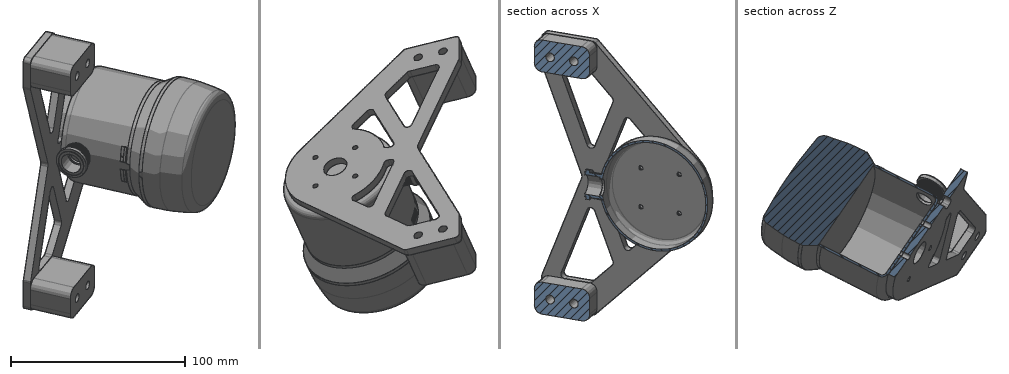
import cadquery as cq
import math


PLATE_THICK = 4.6
PLATE_INSET = 0.25
HUB_RADIUS = 30.3
WAIST_Y = -49.5
STRUT_WIDTH_Y = 10.9
STRUT_SLOPE = 0.39
RIM_INNER_SUM = 21.0
SLOT_END_Z = 5.3
PLATE_CORNER_RADIUS = 2.5
WAIST_RADIUS = 3.4
WINDOW_RADIUS = 2.5
SLOT_RADIUS = 2.4

BLOCK_LENGTH = 25.0
BLOCK_WIDTH = 35.0
BLOCK_HEIGHT = 20.0
BLOCK_TOP_Z = 85.0
BLOCK_FRONT_Y = -75.1
BLOCK_RADIUS = 5.1
BLOCK_HOLE_DIA = 5.1
BLOCK_HOLE_PITCH = 15.0

CABLE_HOLE_DIA = 14.0
SCREW_CIRCLE_DIA = 34.0
SCREW_CLEARANCE_DIA = 3.0
SCREW_PILOT_DIA = 2.5

HOUSING_DIA = 68.0
CAVITY_DIA = 65.0
HOUSING_END_X = 48.8
HOUSING_EDGE_RADIUS = 4.0
STRIP_WIDTH = 2.0
STRIP_DEPTH = 0.2
POINTER_WIDTH = 4.5
HOUSING_POINTER_TIP = 3.4
CAP_POINTER_TIP = 2.0

MARK_START_X = 42.8
MARK_STEP_X = 44.5
MARK_END_X = 46.0
MARK_INNER_Z = 2.5
MARK_OUTER_Z = 11.7
MARK_DEPTH = 0.7
MARK_SHALLOW_DEPTH = 0.3
MARK_DIVIDER_Z = 5.8
MARK_DIVIDER_WIDTH = 0.3

INLET_X = 16.2
INLET_END_Y = -43.4
INLET_DIA = 16.3
INLET_BORE_DIA = 12.0
INLET_WALL_HOLE_DIA = 10.2
COLLAR_DIA = 18.7
COLLAR_BACK_Y = -40.3
COLLAR_FACE_Y = -42.8
THREAD_PITCH = 0.8
THREAD_DEPTH = 0.3

CAP_DIA = 76.8
CONE_END_X = 56.5
BELLY_X = 69.4
BELLY_RADIUS = 38.0
SHOULDER_X = 82.3
SHOULDER_RADIUS = 36.0
NOSE_EDGE_X = 86.0
NOSE_EDGE_RADIUS = 31.1
NOSE_X = 87.7

housing_radius = HOUSING_DIA / 2
cavity_radius = CAVITY_DIA / 2
wall = housing_radius - cavity_radius
cap_radius = CAP_DIA / 2
block_center_y = BLOCK_FRONT_Y + BLOCK_WIDTH / 2
block_center_z = BLOCK_TOP_Z - BLOCK_HEIGHT / 2
plate_top_z = BLOCK_TOP_Z - PLATE_INSET
plate_front_y = BLOCK_FRONT_Y + PLATE_INSET
window_top_z = BLOCK_TOP_Z - BLOCK_HEIGHT + PLATE_INSET
strut_inner_y = WAIST_Y + STRUT_WIDTH_Y


def x_cylinder(diameter, start_x, end_x, y=0, z=0):
    """Cylinder along X centred on (y, z)."""
    return cq.Workplane("YZ", origin=(start_x, y, z)).circle(diameter / 2).extrude(end_x - start_x)


def y_cylinder(diameter, start_y, end_y):
    """Cylinder along Y, centred on the cable inlet."""
    plane = cq.Workplane("XZ", origin=(INLET_X, start_y, 0))
    return plane.circle(diameter / 2).extrude(start_y - end_y)


def screw_holes(diameter, start_x, end_x):
    """Four screw holes at 45 degrees to the axes."""
    plane = cq.Workplane("YZ", origin=(start_x, 0, 0))
    spots = plane.polarArray(SCREW_CIRCLE_DIA / 2, 45, 360, 4)
    return spots.circle(diameter / 2).extrude(end_x - start_x)


def plate_blank():
    """Plate outline: round hub, 45-degree rims and a waist on the far side."""
    tangent = HUB_RADIUS / math.sqrt(2)
    rim_corner_y = HUB_RADIUS * math.sqrt(2) - plate_top_z
    strut_corner_z = (WAIST_Y - plate_front_y) / STRUT_SLOPE
    outline = (
        cq.Workplane("YZ")
        .moveTo(tangent, -tangent)
        .threePointArc((HUB_RADIUS, 0), (tangent, tangent))
        .lineTo(rim_corner_y, plate_top_z)
        .lineTo(plate_front_y, plate_top_z)
        .lineTo(plate_front_y, strut_corner_z)
        .lineTo(WAIST_Y, 0)
        .lineTo(plate_front_y, -strut_corner_z)
        .lineTo(plate_front_y, -plate_top_z)
        .lineTo(rim_corner_y, -plate_top_z)
        .close()
    )
    blank = outline.extrude(PLATE_THICK)
    blank = blank.edges("|X").edges("<Y or >Z or <Z").fillet(PLATE_CORNER_RADIUS)
    waist = cq.selectors.NearestToPointSelector((PLATE_THICK / 2, WAIST_Y, 0))
    return blank.edges(waist).fillet(WAIST_RADIUS)


def window():
    """Four-sided window between the rim, the block and the two struts."""
    apex_z = (strut_inner_y - WAIST_Y) / (2 * STRUT_SLOPE)
    side_z = (RIM_INNER_SUM - WAIST_Y) / (1 + STRUT_SLOPE)
    corners = [
        ((strut_inner_y + WAIST_Y) / 2, apex_z),
        (RIM_INNER_SUM - side_z, side_z),
        (RIM_INNER_SUM - window_top_z, window_top_z),
        (strut_inner_y - STRUT_SLOPE * window_top_z, window_top_z),
    ]
    prism = cq.Workplane("YZ").polyline(corners).close().extrude(PLATE_THICK)
    return prism.edges("|X").fillet(WINDOW_RADIUS)


def slot():
    """Slot bounded by the hub circle, the rim and the inner strut."""
    hub_end_y = -math.sqrt(HUB_RADIUS**2 - SLOT_END_Z**2)
    rim_reach = math.sqrt(2 * HUB_RADIUS**2 - RIM_INNER_SUM**2)
    rim_start = ((RIM_INNER_SUM - rim_reach) / 2, (RIM_INNER_SUM + rim_reach) / 2)
    top_z = (RIM_INNER_SUM - strut_inner_y) / (1 + STRUT_SLOPE)
    hub_mid = HUB_RADIUS / math.sqrt(2)
    prism = (
        cq.Workplane("YZ")
        .moveTo(hub_end_y, SLOT_END_Z)
        .threePointArc((-hub_mid, hub_mid), rim_start)
        .lineTo(RIM_INNER_SUM - top_z, top_z)
        .lineTo(strut_inner_y + STRUT_SLOPE * SLOT_END_Z, SLOT_END_Z)
        .close()
        .extrude(PLATE_THICK)
    )
    return prism.edges("|X").fillet(SLOT_RADIUS)


def mounting_block():
    """Upper mounting block, rounded along X."""
    center = (PLATE_THICK, block_center_y, block_center_z)
    block = cq.Workplane("YZ", origin=center).rect(BLOCK_WIDTH, BLOCK_HEIGHT).extrude(BLOCK_LENGTH)
    return block.edges("|X").fillet(BLOCK_RADIUS)


def make_bracket():
    block = mounting_block()
    bracket = plate_blank().union(block).union(block.mirror("XY"))
    for opening in (window(), slot()):
        bracket = bracket.cut(opening).cut(opening.mirror("XY"))
    for z in (block_center_z, -block_center_z):
        for side in (-1, 1):
            y = block_center_y + side * BLOCK_HOLE_PITCH / 2
            bracket = bracket.cut(x_cylinder(BLOCK_HOLE_DIA, 0, PLATE_THICK + BLOCK_LENGTH, y, z))
    bracket = bracket.cut(x_cylinder(CABLE_HOLE_DIA, 0, PLATE_THICK))
    return bracket.cut(screw_holes(SCREW_CLEARANCE_DIA, 0, PLATE_THICK))


def marking_strip(radius, start_x, base_x, tip_x, tip_width):
    """Shallow ring to cut away, interrupted on the -Y side by a tapered pointer."""
    end_x = start_x + STRIP_WIDTH
    ring = x_cylinder(2 * radius, start_x, end_x).cut(
        x_cylinder(2 * (radius - STRIP_DEPTH), start_x, end_x)
    )
    pointer = (
        cq.Workplane("XZ")
        .moveTo(base_x, -POINTER_WIDTH / 2)
        .lineTo(base_x, POINTER_WIDTH / 2)
        .lineTo(tip_x, tip_width / 2)
        .lineTo(tip_x, -tip_width / 2)
        .close()
        .extrude(radius)
    )
    return ring.cut(pointer)


def mark_recess(start_x, end_x, depth):
    """Recess of even depth in the housing wall, above the pointer."""
    ring = x_cylinder(HOUSING_DIA, start_x, end_x).cut(
        x_cylinder(HOUSING_DIA - 2 * depth, start_x, end_x)
    )
    sector = (
        cq.Workplane("XZ")
        .moveTo(start_x, MARK_INNER_Z)
        .lineTo(end_x, MARK_INNER_Z)
        .lineTo(end_x, MARK_OUTER_Z)
        .lineTo(start_x, MARK_OUTER_Z)
        .close()
        .extrude(housing_radius)
    )
    return ring.intersect(sector)


def cable_inlet():
    """Threaded tube with a collar, reaching from inside the wall to its open end."""
    root_radius = INLET_DIA / 2 - THREAD_DEPTH
    thread_start_y = -cavity_radius
    inlet = y_cylinder(INLET_DIA - 2 * THREAD_DEPTH, thread_start_y, INLET_END_Y)
    for turn in range(int((thread_start_y - COLLAR_BACK_Y) / THREAD_PITCH)):
        y = thread_start_y - turn * THREAD_PITCH
        ridge = (
            cq.Workplane("XY")
            .moveTo(INLET_X, y)
            .lineTo(INLET_X + root_radius, y)
            .lineTo(INLET_X + INLET_DIA / 2, y - THREAD_PITCH / 2)
            .lineTo(INLET_X + root_radius, y - THREAD_PITCH)
            .lineTo(INLET_X, y - THREAD_PITCH)
            .close()
            .revolve(360, (INLET_X, 0, 0), (INLET_X, 1, 0))
        )
        inlet = inlet.union(ridge)
    return inlet.union(y_cylinder(COLLAR_DIA, COLLAR_BACK_Y, COLLAR_FACE_Y))


def make_housing():
    shell = x_cylinder(HOUSING_DIA, PLATE_THICK, HOUSING_END_X)
    shell = shell.edges("<X").fillet(HOUSING_EDGE_RADIUS)
    cavity = x_cylinder(CAVITY_DIA, PLATE_THICK + wall, HOUSING_END_X)
    cavity = cavity.edges("<X").fillet(HOUSING_EDGE_RADIUS - wall)

    housing = shell.union(cable_inlet()).cut(cavity)
    housing = housing.cut(y_cylinder(INLET_BORE_DIA, -housing_radius, INLET_END_Y))
    housing = housing.cut(y_cylinder(INLET_WALL_HOLE_DIA, 0, INLET_END_Y))
    housing = housing.cut(screw_holes(SCREW_PILOT_DIA, PLATE_THICK, PLATE_THICK + wall))

    strip_start_x = HOUSING_END_X - STRIP_WIDTH
    strip = marking_strip(
        housing_radius, strip_start_x, strip_start_x, HOUSING_END_X, HOUSING_POINTER_TIP
    )
    housing = housing.cut(strip)

    shallow_mark = mark_recess(MARK_START_X, MARK_STEP_X, MARK_SHALLOW_DEPTH)
    deep_mark = mark_recess(MARK_STEP_X, MARK_END_X, MARK_DEPTH)
    divider_length = MARK_STEP_X - MARK_START_X
    divider = cq.Workplane("XY").box(divider_length, HOUSING_DIA, MARK_DIVIDER_WIDTH)
    divider = divider.translate((MARK_START_X + divider_length / 2, 0, MARK_DIVIDER_Z))
    housing = housing.cut(shallow_mark.cut(divider)).cut(shallow_mark.mirror("XY"))
    return housing.cut(deep_mark).cut(deep_mark.mirror("XY"))


def make_cap():
    strip_end_x = CONE_END_X + STRIP_WIDTH
    profile = (
        cq.Workplane("XY")
        .moveTo(HOUSING_END_X, 0)
        .lineTo(HOUSING_END_X, housing_radius - STRIP_DEPTH)
        .lineTo(CONE_END_X, cap_radius)
        .lineTo(strip_end_x, cap_radius)
        .tangentArcPoint((BELLY_X, BELLY_RADIUS), relative=False)
        .tangentArcPoint((SHOULDER_X, SHOULDER_RADIUS), relative=False)
        .tangentArcPoint((NOSE_EDGE_X, NOSE_EDGE_RADIUS), relative=False)
    )
    nose_rise = NOSE_X - NOSE_EDGE_X
    nose_radius = (NOSE_EDGE_RADIUS**2 + nose_rise**2) / (2 * nose_rise)
    half_y = NOSE_EDGE_RADIUS / 2
    half_x = NOSE_X - nose_radius + math.sqrt(nose_radius**2 - half_y**2)
    profile = profile.threePointArc((half_x, half_y), (NOSE_X, 0)).close()
    cap = profile.revolve(360, (0, 0, 0), (1, 0, 0))
    return cap.cut(marking_strip(cap_radius, CONE_END_X, strip_end_x, CONE_END_X, CAP_POINTER_TIP))


bracket = make_bracket()
housing = make_housing()
cap = make_cap()

result = cq.Compound.makeCompound([bracket.val(), housing.val(), cap.val()])